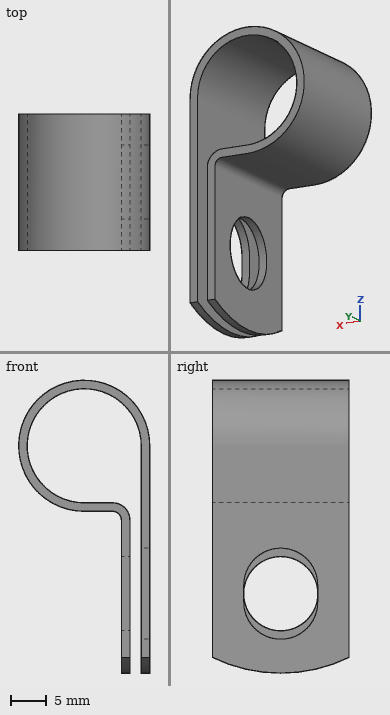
import cadquery as cq
import math

strap_width = 19.05
thickness = 1.219
loop_inner_radius = 15.875 / 2
loop_outer_radius = loop_inner_radius + thickness

overall_height = 40.88
leg_gap = 1.55
bend_inner_radius = 1.2
bend_outer_radius = bend_inner_radius + thickness
bottom_z = loop_outer_radius - overall_height

end_rise = 2.2
hole_diameter = 10.32
slot_length = 12.7
hole_height = 11.1
hole_z = bottom_z + hole_height

back_leg_inner_x = loop_inner_radius
back_leg_outer_x = loop_outer_radius
front_leg_inner_x = back_leg_inner_x - leg_gap
front_leg_outer_x = front_leg_inner_x - thickness

bend_x = front_leg_inner_x - bend_outer_radius
bend_z = -loop_inner_radius - bend_outer_radius


def make_strap():
    """Bent strap: back leg, three-quarter loop, short floor, bend and front leg."""
    diagonal = math.sqrt(0.5)
    profile = (
        cq.Workplane("XZ")
        .moveTo(back_leg_outer_x, bottom_z)
        .lineTo(back_leg_outer_x, 0)
        .threePointArc(
            (-loop_outer_radius * diagonal, loop_outer_radius * diagonal),
            (0, -loop_outer_radius),
        )
        .lineTo(bend_x, -loop_outer_radius)
        .threePointArc(
            (bend_x + bend_inner_radius * diagonal, bend_z + bend_inner_radius * diagonal),
            (front_leg_outer_x, bend_z),
        )
        .lineTo(front_leg_outer_x, bottom_z)
        .lineTo(front_leg_inner_x, bottom_z)
        .lineTo(front_leg_inner_x, bend_z)
        .threePointArc(
            (bend_x + bend_outer_radius * diagonal, bend_z + bend_outer_radius * diagonal),
            (bend_x, -loop_inner_radius),
        )
        .lineTo(0, -loop_inner_radius)
        .threePointArc(
            (-loop_inner_radius * diagonal, loop_inner_radius * diagonal),
            (back_leg_inner_x, 0),
        )
        .lineTo(back_leg_inner_x, bottom_z)
        .close()
    )
    return profile.extrude(strap_width / 2, both=True)


def make_end_envelope():
    """Block across both legs whose lower edge is the rounded end of the strap."""
    half_width = strap_width / 2
    return (
        cq.Workplane("YZ")
        .moveTo(-half_width, loop_outer_radius)
        .lineTo(-half_width, bottom_z + end_rise)
        .threePointArc((0, bottom_z), (half_width, bottom_z + end_rise))
        .lineTo(half_width, loop_outer_radius)
        .close()
        .extrude(loop_outer_radius, both=True)
    )


def make_front_hole():
    """Round hole along X through the front leg only."""
    return (
        cq.Workplane("YZ", origin=(front_leg_outer_x, 0, hole_z))
        .circle(hole_diameter / 2)
        .extrude(thickness)
    )


def make_back_slot():
    """Upright slot along X through the back leg, as wide as the round hole."""
    return (
        cq.Workplane("YZ", origin=(back_leg_inner_x, 0, hole_z))
        .slot2D(slot_length, hole_diameter, angle=90)
        .extrude(thickness)
    )


strap = make_strap().intersect(make_end_envelope())
result = strap.cut(make_front_hole()).cut(make_back_slot())